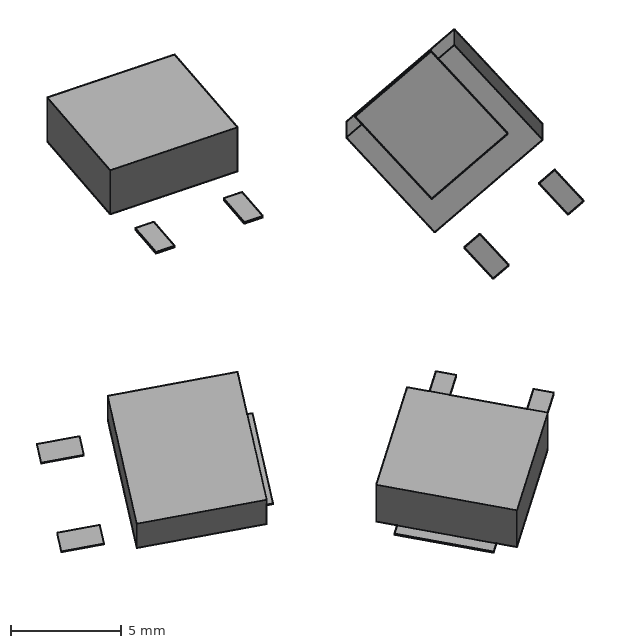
import cadquery as cq

total_length = 9.9
total_height = 2.66

plate_thickness = 0.1
tab_length = 5.23
tab_width = 4.63
lead_length = 1.98
lead_width = 0.96
lead_pitch = 4.55

housing_setback = 0.495
housing_length = 6.02
housing_width = 6.57
housing_height = total_height - plate_thickness


def make_block(x_start, y_center, z_bottom, length, width, height):
    """Return a box placed by its -X face, its Y center and its bottom."""
    return (
        cq.Workplane("XY")
        .box(length, width, height, centered=(False, True, False))
        .translate((x_start, y_center, z_bottom))
    )


def make_housing():
    return make_block(
        housing_setback, 0, plate_thickness, housing_length, housing_width, housing_height
    )


def make_tab():
    return make_block(0, 0, 0, tab_length, tab_width, plate_thickness)


def make_lead(y_center):
    """Return one lead, ending at the +X end of the part."""
    x_start = total_length - lead_length
    return make_block(x_start, y_center, 0, lead_length, lead_width, plate_thickness)


housing = make_housing()
tab = make_tab()
leads = [make_lead(side * lead_pitch / 2) for side in (-1, 1)]

result = cq.Compound.makeCompound(
    [housing.val(), tab.val(), *[lead.val() for lead in leads]]
)